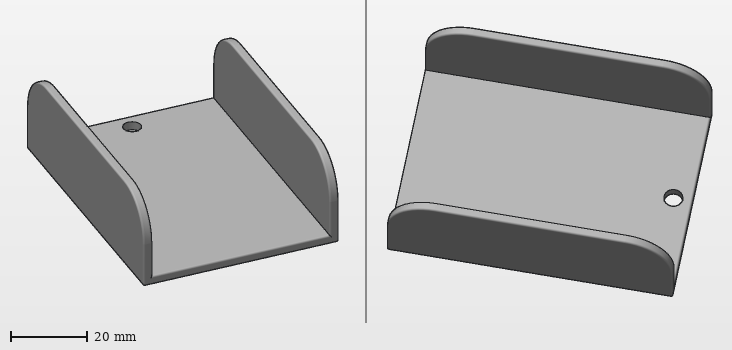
import cadquery as cq

length = 76.2
width = 55.85
height = 25.4

wall = 2.5
corner_radius = height / 2
edge_radius = 0.5

hole_diameter = 4.95
hole_inset = 5.1


def rounded_end_profile():
    """Solid block whose two upper corners are rounded as seen along Y."""
    block = cq.Workplane("XY").box(length, width, height, centered=(True, True, False))
    return block.edges("|Y and >Z").fillet(corner_radius)


def channel_space():
    """Space between the side walls, open at the top and at both ends."""
    return (
        cq.Workplane("XY")
        .workplane(offset=wall)
        .box(2 * length, width - 2 * wall, height, centered=(True, True, False))
    )


def floor_hole():
    """Through hole in the floor, near the -X end."""
    return (
        cq.Workplane("XY")
        .center(-length / 2 + hole_inset, 0)
        .circle(hole_diameter / 2)
        .extrude(wall)
    )


tray = rounded_end_profile().cut(channel_space())

inner_corners = cq.selectors.BoxSelector(
    (-length, -width / 2 + wall / 2, wall / 2),
    (length, width / 2 - wall / 2, wall * 1.5),
)
sharp_corners = cq.selectors.AndSelector(cq.selectors.ParallelDirSelector(cq.Vector(1, 0, 0)), inner_corners)
tray = tray.edges(cq.selectors.InverseSelector(sharp_corners)).fillet(edge_radius)

result = tray.cut(floor_hole())